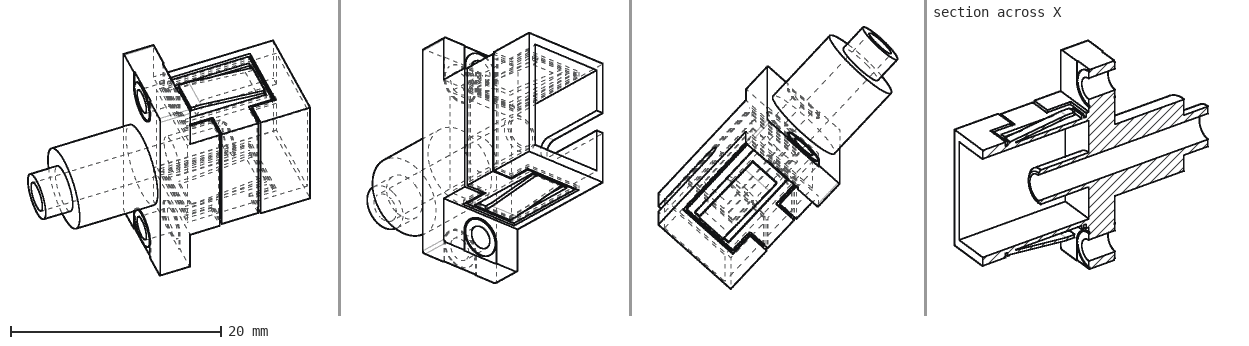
import cadquery as cq


width = 9.33
flange_height = 22.23
flange_thickness = 3.07
flange_corner_radius = 0.25

mount_offset = 9.0
mount_hole_diameter = 2.3
insert_diameter = 3.83
seat_width = 4.04
seat_depth = 0.092

housing_length = 12.35
housing_height = 12.9
side_wall = 0.79
top_wall = 1.0
key_slot_width = 2.15
key_slot_end = 4.22

barrel_diameter = 8.02
barrel_length = 8.02
nose_diameter = 4.5
nose_length = 2.78
bore_diameter = 2.83
sleeve_diameter = 3.88
sleeve_length = 5.85
sleeve_chamfer = 0.25

clip_thickness = 0.4
clip_drop = 0.08
clip_gap = 0.24
clip_center_x = -0.7
clip_width = 5.95
clip_front = 0.58
clip_rear = 9.44
band_center_y = 5.16
band_width = 3.72
window_width = 4.35
window_front = 0.8
window_rear = 9.15

tongue_width = 3.12
tongue_tip = 1.65
tongue_bend = 2.67
tongue_root = 9.23
tongue_rise = 0.55
tongue_root_drop = 0.15

recess_depth = clip_drop + clip_thickness
flange_front = -flange_thickness
barrel_end = flange_front - barrel_length
total_front = barrel_end - nose_length


def block(x_range, y_range, z_range):
    """Box given by its lower and upper limit along each axis."""
    lows, highs = zip(x_range, y_range, z_range)
    sizes = [high - low for low, high in zip(lows, highs)]
    return cq.Workplane("XY").box(*sizes, centered=False).translate(lows)


def centered_range(center, size):
    return center - size / 2, center + size / 2


def rod(diameter, y_start, y_end, z=0):
    """Cylinder along Y."""
    profile = cq.Workplane("XZ", origin=(0, y_start, z)).circle(diameter / 2)
    return profile.extrude(y_start - y_end)


def make_flange():
    flange = block(
        centered_range(0, width), (flange_front, 0), centered_range(0, flange_height)
    )
    return flange.edges("|Y").fillet(flange_corner_radius)


def add_mounts(body):
    """Seats on both flange faces, with flush inserts and through holes."""
    for side in (1, -1):
        center_z = side * mount_offset
        seat_z = sorted((center_z, side * flange_height / 2))
        for seat_y in ((flange_front, flange_front + seat_depth), (-seat_depth, 0)):
            seat = rod(seat_width, *seat_y, center_z)
            seat = seat.union(block(centered_range(0, seat_width), seat_y, seat_z))
            body = body.cut(seat)
        body = body.union(rod(insert_diameter, flange_front, 0, center_z))
        body = body.cut(rod(mount_hole_diameter, flange_front, 0, center_z))
    return body


def make_housing():
    """Rectangular sleeve with the key slot open to the rear."""
    housing = block(
        centered_range(0, width), (0, housing_length), centered_range(0, housing_height)
    )
    cavity = block(
        centered_range(0, width - 2 * side_wall),
        (0, housing_length),
        centered_range(0, housing_height - 2 * top_wall),
    )
    slot_center = key_slot_end + key_slot_width / 2
    slot_x = (-width / 2, -width / 2 + side_wall)
    slot_round = (
        cq.Workplane("YZ", origin=(slot_x[0], slot_center, 0))
        .circle(key_slot_width / 2)
        .extrude(side_wall)
    )
    slot = block(slot_x, (slot_center, housing_length), centered_range(0, key_slot_width))
    return housing.cut(cavity).cut(slot).cut(slot_round)


def clip_layer(drop, margin):
    """Clip-shaped layer on the recess floor, its outer faces lying drop below the housing.

    margin widens the outline on all sides.
    """
    outer_x = width / 2 - drop
    floor_x = width / 2 - recess_depth
    outer_z = housing_height / 2 - drop
    floor_z = housing_height / 2 - recess_depth
    plate_x = centered_range(clip_center_x, clip_width + 2 * margin)
    plate_y = (clip_front - margin, clip_rear + margin)
    band_y = centered_range(band_center_y, band_width + 2 * margin)
    layer = block((floor_x, outer_x), band_y, (-outer_z, outer_z))
    for layer_z in ((floor_z, outer_z), (-outer_z, -floor_z)):
        layer = layer.union(block(plate_x, plate_y, layer_z))
        layer = layer.union(block((clip_center_x, outer_x), band_y, layer_z))
    return layer


def make_tongue():
    """Bent strip of the top clip plate, rising toward the flange to a flat tip."""
    root_z = housing_height / 2 - tongue_root_drop
    tip_z = housing_height / 2 + tongue_rise
    upper = [(tongue_root, root_z), (tongue_bend, tip_z), (tongue_tip, tip_z)]
    lower = [(y, z - clip_thickness) for y, z in reversed(upper)]
    left_x = clip_center_x - tongue_width / 2
    profile = cq.Workplane("YZ", origin=(left_x, 0, 0)).polyline(upper + lower).close()
    return profile.extrude(tongue_width)


def make_clip():
    """Clip with a window at top and bottom, each notched at the root of its tongue."""
    clip = clip_layer(clip_drop, 0)
    window = block(
        centered_range(clip_center_x, window_width),
        (window_front, window_rear),
        centered_range(0, housing_height),
    )
    notch = block(
        centered_range(clip_center_x, tongue_width),
        (window_front, tongue_root),
        centered_range(0, housing_height),
    )
    tongue = make_tongue()
    return clip.cut(window).cut(notch).union(tongue).union(tongue.mirror("XY"))


def make_sleeve():
    return rod(sleeve_diameter, 0, sleeve_length).faces(">Y").chamfer(sleeve_chamfer)


housing = make_housing().cut(clip_layer(0, clip_gap)).union(make_clip())
body = add_mounts(make_flange()).union(housing).union(make_sleeve())
body = body.union(rod(barrel_diameter, barrel_end, flange_front))
body = body.union(rod(nose_diameter, total_front, barrel_end))
result = body.cut(rod(bore_diameter, total_front, sleeve_length))